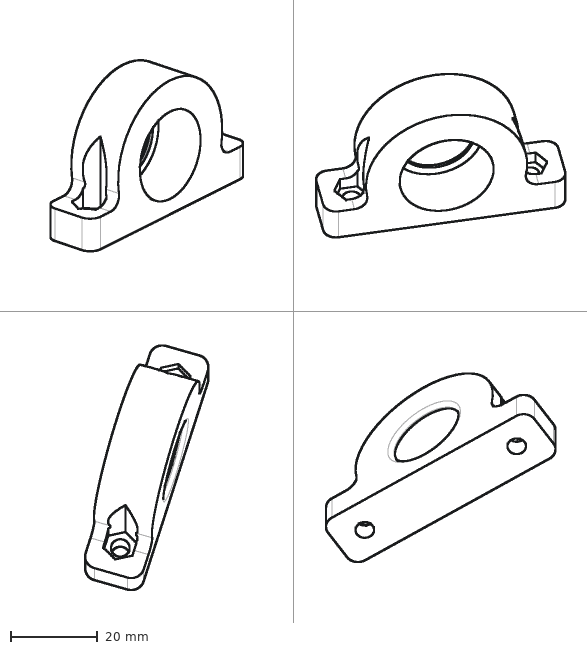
import cadquery as cq
import math

thickness = 14.0
length = 57.0
height = 34.0
base_height = 8.25
corner_radius = 3.0

housing_radius = 19.0
axis_height = height - housing_radius
blend_radius = 3.0

bore_diameter = 18.0
bore_rounding = 1.0
seat_diameter = 22.1
lip_thickness = 1.5

hole_spacing = 41.95
hole_diameter = 4.3
hex_across_flats = 7.05
hex_depth = 3.0

front_face = -thickness / 2


def make_base():
    base = cq.Workplane("XY").box(thickness, length, base_height, centered=(True, True, False))
    return base.edges("|Z").fillet(corner_radius)


def make_housing():
    """Disc on a foot, with concave blends tangent to the disc and the base top."""
    blend_z = base_height + blend_radius
    drop = axis_height - blend_z
    center_distance = housing_radius + blend_radius
    blend_y = math.sqrt(center_distance**2 - drop**2)
    joint_y = blend_y * housing_radius / center_distance
    joint_z = axis_height - drop * housing_radius / center_distance
    angle_to_joint = math.atan2(drop, -blend_y)
    middle_angle = (angle_to_joint + 1.5 * math.pi) / 2
    middle_y = blend_y + blend_radius * math.cos(middle_angle)
    middle_z = blend_z + blend_radius * math.sin(middle_angle)
    return (
        cq.Workplane("YZ", origin=(front_face, 0, 0))
        .moveTo(-blend_y, 0)
        .lineTo(blend_y, 0)
        .lineTo(blend_y, base_height)
        .threePointArc((middle_y, middle_z), (joint_y, joint_z))
        .threePointArc((0, height), (-joint_y, joint_z))
        .threePointArc((-middle_y, middle_z), (-blend_y, base_height))
        .close()
        .extrude(thickness)
    )


def make_bore():
    """Lip opening, flared by a convex rounding at the -X face, plus the bearing seat."""
    bore_radius = bore_diameter / 2
    seat_radius = seat_diameter / 2
    rounding_offset = bore_rounding * (1 - math.sqrt(0.5))
    profile = (
        cq.Workplane("XY")
        .moveTo(front_face, 0)
        .lineTo(front_face, bore_radius + bore_rounding)
        .threePointArc(
            (front_face + rounding_offset, bore_radius + rounding_offset),
            (front_face + bore_rounding, bore_radius),
        )
        .lineTo(front_face + lip_thickness, bore_radius)
        .lineTo(front_face + lip_thickness, seat_radius)
        .lineTo(thickness / 2, seat_radius)
        .lineTo(thickness / 2, 0)
        .close()
    )
    return profile.revolve(360, (0, 0, 0), (1, 0, 0)).translate((0, 0, axis_height))


def make_mounting_cut(y):
    """Through hole and a nut pocket that stays open upward through the housing."""
    hole = cq.Workplane("XY").center(0, y).circle(hole_diameter / 2).extrude(base_height)
    across_corners = hex_across_flats / math.cos(math.pi / 6)
    pocket = (
        cq.Workplane("XY", origin=(0, y, base_height - hex_depth))
        .transformed(rotate=(0, 0, 90))
        .polygon(6, across_corners)
        .extrude(height)
    )
    return hole.union(pocket)


result = make_base().union(make_housing()).cut(make_bore())
for side in (-1, 1):
    result = result.cut(make_mounting_cut(side * hole_spacing / 2))